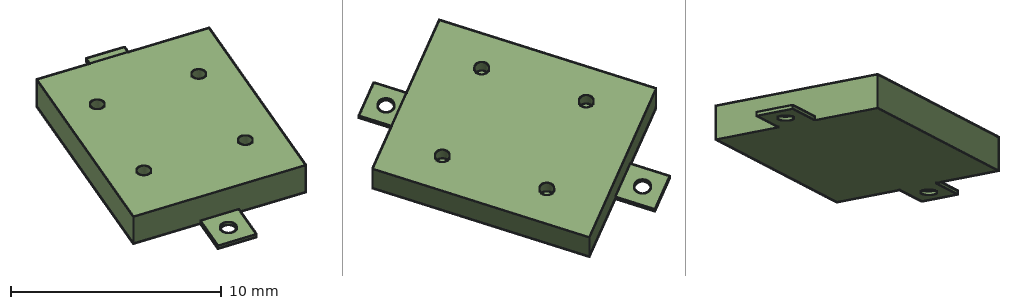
import cadquery as cq

body_length = 11.0
body_width = 9.0
body_height = 1.7

overall_length = 15.0
tab_width = 2.01
tab_thickness = 0.2
tab_hole_diameter = 0.8
tab_length = (overall_length - body_length) / 2
tab_hole_spacing = overall_length - tab_length

top_hole_diameter = 0.7
top_hole_spacing = 5.3
top_hole_depth = 0.75


def make_body():
    return cq.Workplane("XY").box(
        body_length, body_width, body_height, centered=(True, True, False)
    )


def make_tab_strip():
    strip = cq.Workplane("XY").box(
        overall_length, tab_width, tab_thickness, centered=(True, True, False)
    )
    return (
        strip.faces(">Z")
        .workplane()
        .rarray(tab_hole_spacing, 0.15, 2, 1)
        .hole(tab_hole_diameter)
    )


def drill_top_holes(part):
    return (
        part.faces(">Z")
        .workplane()
        .rarray(top_hole_spacing, top_hole_spacing, 2, 2)
        .hole(top_hole_diameter, top_hole_depth)
    )


result = drill_top_holes(make_body().union(make_tab_strip()))